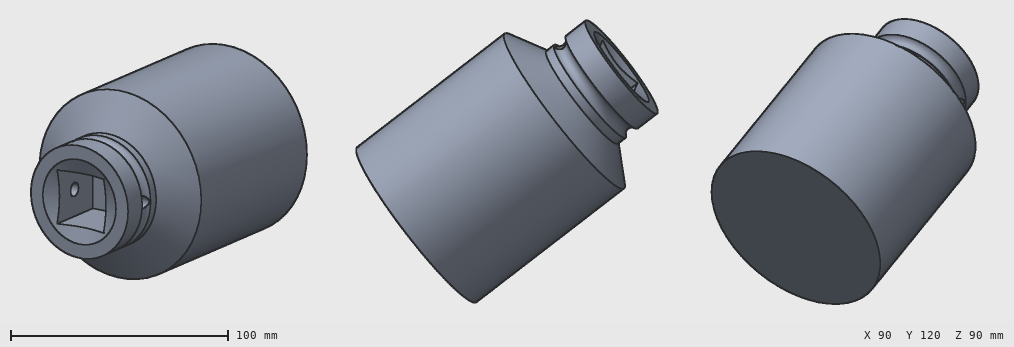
import cadquery as cq
import math

TOTAL_LENGTH = 120.0
BODY_RADIUS = 45.0
NECK_RADIUS = 27.0
NECK_LENGTH = 23.0
SHOULDER_ANGLE = 30.0
SHOULDER_LENGTH = (BODY_RADIUS - NECK_RADIUS) * math.tan(math.radians(SHOULDER_ANGLE))

GROOVE_POSITION = 15.0
GROOVE_WIDTH = 6.9
GROOVE_DEPTH = 2.6
PIN_HOLE_DIAMETER = 6.5

DRIVE_WIDTH = 25.8
DRIVE_DEPTH = 30.0
LEAD_IN_RADIUS = 20.3
LEAD_IN_ANGLE = 70.0


def make_body():
    """Revolve the half outline, with its round ring groove, about the Y axis."""
    groove_start = GROOVE_POSITION - GROOVE_WIDTH / 2
    groove_end = GROOVE_POSITION + GROOVE_WIDTH / 2
    outline = (
        cq.Workplane("XY")
        .moveTo(0, 0)
        .lineTo(NECK_RADIUS, 0)
        .lineTo(NECK_RADIUS, groove_start)
        .threePointArc((NECK_RADIUS - GROOVE_DEPTH, GROOVE_POSITION), (NECK_RADIUS, groove_end))
        .lineTo(NECK_RADIUS, NECK_LENGTH)
        .lineTo(BODY_RADIUS, NECK_LENGTH + SHOULDER_LENGTH)
        .lineTo(BODY_RADIUS, TOTAL_LENGTH)
        .lineTo(0, TOTAL_LENGTH)
        .close()
    )
    return outline.revolve(360, (0, 0, 0), (0, 1, 0))


def make_drive_square():
    """Blind square recess entering from the neck face."""
    return cq.Workplane("XY").box(
        DRIVE_WIDTH, DRIVE_DEPTH, DRIVE_WIDTH, centered=(True, False, True)
    )


def make_lead_in():
    """Cone that opens the mouth of the square and vanishes at the middle of its flats."""
    inner_radius = DRIVE_WIDTH / 2
    depth = (LEAD_IN_RADIUS - inner_radius) / math.tan(math.radians(LEAD_IN_ANGLE))
    outline = (
        cq.Workplane("XY")
        .moveTo(0, 0)
        .lineTo(LEAD_IN_RADIUS, 0)
        .lineTo(inner_radius, depth)
        .lineTo(0, depth)
        .close()
    )
    return outline.revolve(360, (0, 0, 0), (0, 1, 0))


def make_pin_hole():
    """Hole along X through both walls of the neck."""
    return (
        cq.Workplane("YZ")
        .center(GROOVE_POSITION, 0)
        .circle(PIN_HOLE_DIAMETER / 2)
        .extrude(NECK_RADIUS, both=True)
    )


result = make_body().cut(make_drive_square()).cut(make_lead_in()).cut(make_pin_hole())